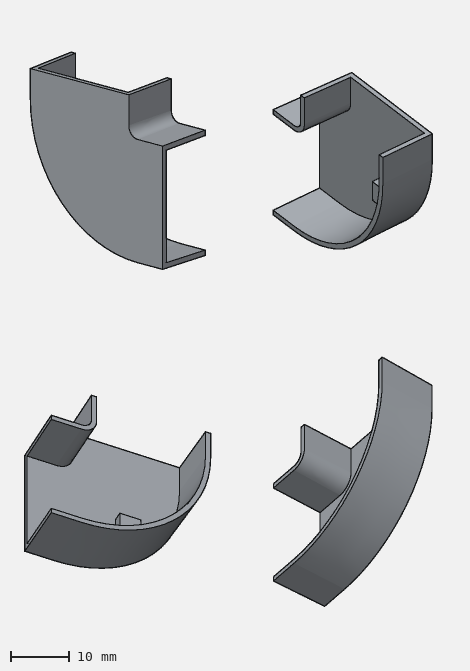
import cadquery as cq
import math

size = 29.98
depth = 10.9
wall = 1.0
draft_angle = 1.0
leg_width = 22.43
outer_bend_radius = 24.28
boss_side = 3.95
boss_height = 1.75
end_overrun = 3.0

bend_centre = outer_bend_radius
inner_bend_radius = outer_bend_radius - leg_width
channel_depth = depth - wall


def elbow(inset, overrun, length):
    """Drafted elbow running forward from the back rim, with its sides moved in and its ends moved out."""
    outer_side = inset
    inner_side = leg_width - inset
    end = size + overrun
    outer_mid = bend_centre - (outer_bend_radius - inset) * math.sqrt(0.5)
    inner_mid = bend_centre - (inner_bend_radius + inset) * math.sqrt(0.5)
    return (
        cq.Workplane("XZ", origin=(0, depth, 0))
        .moveTo(outer_side, end)
        .lineTo(outer_side, bend_centre)
        .threePointArc((outer_mid, outer_mid), (bend_centre, outer_side))
        .lineTo(end, outer_side)
        .lineTo(end, inner_side)
        .lineTo(bend_centre, inner_side)
        .threePointArc((inner_mid, inner_mid), (inner_side, bend_centre))
        .lineTo(inner_side, end)
        .close()
        .extrude(length, taper=draft_angle)
    )


def plate_boss():
    """Square boss standing on the plate where the centre lines of the two legs cross."""
    leg_centre = leg_width / 2
    return (
        cq.Workplane("XZ", origin=(leg_centre, wall, leg_centre))
        .rect(boss_side, boss_side)
        .extrude(-boss_height)
    )


body = elbow(inset=0, overrun=0, length=depth)
channel = elbow(inset=wall, overrun=end_overrun, length=channel_depth)
result = body.cut(channel).union(plate_boss())